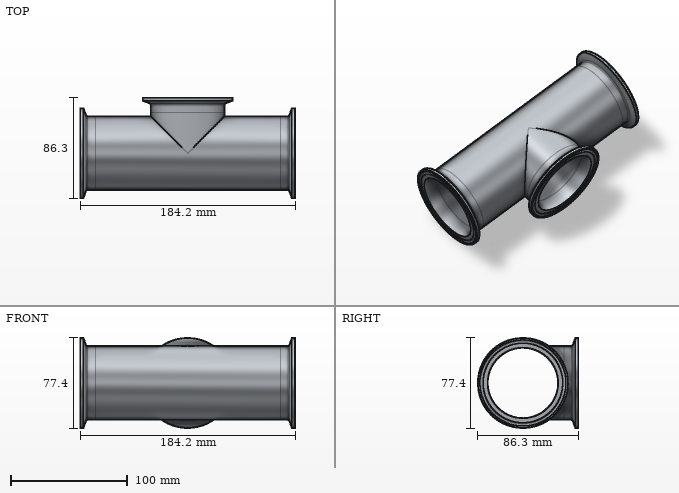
import cadquery as cq
import math

tube_diameter = 63.5
bore_diameter = 60.2
run_length = 184.15
branch_reach = 47.625

ferrule_length = 12.7
flange_diameter = 77.39
rim_width = 2.7
clamp_angle = 20.0
neck_fillet = 1.3

groove_inner_radius = 34.15
groove_outer_radius = 36.95
groove_depth = 1.2

tube_radius = tube_diameter / 2
bore_radius = bore_diameter / 2
flange_radius = flange_diameter / 2
groove_mid_radius = (groove_inner_radius + groove_outer_radius) / 2

ports = [
    ((1, 0, 0), run_length / 2),
    ((-1, 0, 0), run_length / 2),
    ((0, 1, 0), branch_reach),
]


def port_plane(direction, distance):
    """Plane at a distance from the tee centre, facing along direction."""
    origin = tuple(distance * component for component in direction)
    return cq.Plane(origin=origin, xDir=(0, 0, 1), normal=direction)


def ferrule_body():
    """Bored ferrule on the Z axis, weld joint at Z = 0 and clamp face at the top."""
    slope = math.radians(clamp_angle)
    rim_bottom = ferrule_length - rim_width
    corner_z = rim_bottom - (flange_radius - tube_radius) * math.tan(slope)
    turn = math.pi / 2 - slope
    tangent = neck_fillet * math.tan(turn / 2)
    fillet_start = (tube_radius, corner_z - tangent)
    fillet_end = (
        tube_radius + tangent * math.cos(slope),
        corner_z + tangent * math.sin(slope),
    )
    fillet_middle = (
        tube_radius + neck_fillet * (1 - math.cos(turn / 2)),
        fillet_start[1] + neck_fillet * math.sin(turn / 2),
    )
    body = (
        cq.Workplane("XZ")
        .moveTo(bore_radius, 0)
        .lineTo(tube_radius, 0)
        .lineTo(*fillet_start)
        .threePointArc(fillet_middle, fillet_end)
        .lineTo(flange_radius, rim_bottom)
        .lineTo(flange_radius, ferrule_length)
        .lineTo(bore_radius, ferrule_length)
        .close()
        .revolve(360, (0, 0, 0), (0, 1, 0))
    )
    return body.cut(gasket_groove())


def gasket_groove():
    """Ring with an arc section, sunk into the clamp face."""
    return (
        cq.Workplane("XZ")
        .moveTo(groove_inner_radius, ferrule_length)
        .threePointArc(
            (groove_mid_radius, ferrule_length - groove_depth),
            (groove_outer_radius, ferrule_length),
        )
        .close()
        .revolve(360, (0, 0, 0), (0, 1, 0))
    )


def tee_of(radius):
    """Solid tee of equal cylinders from the centre to each weld joint."""
    tee = cq.Workplane()
    for direction, reach in ports:
        centre = port_plane(direction, 0)
        leg = cq.Workplane(centre).circle(radius).extrude(reach - ferrule_length)
        tee = tee.union(leg)
    return tee


tee = tee_of(tube_radius).cut(tee_of(bore_radius))

for direction, reach in ports:
    joint = cq.Location(port_plane(direction, reach - ferrule_length))
    tee = tee.union(ferrule_body().val().moved(joint), clean=False)

result = cq.Workplane(tee.solids().val())